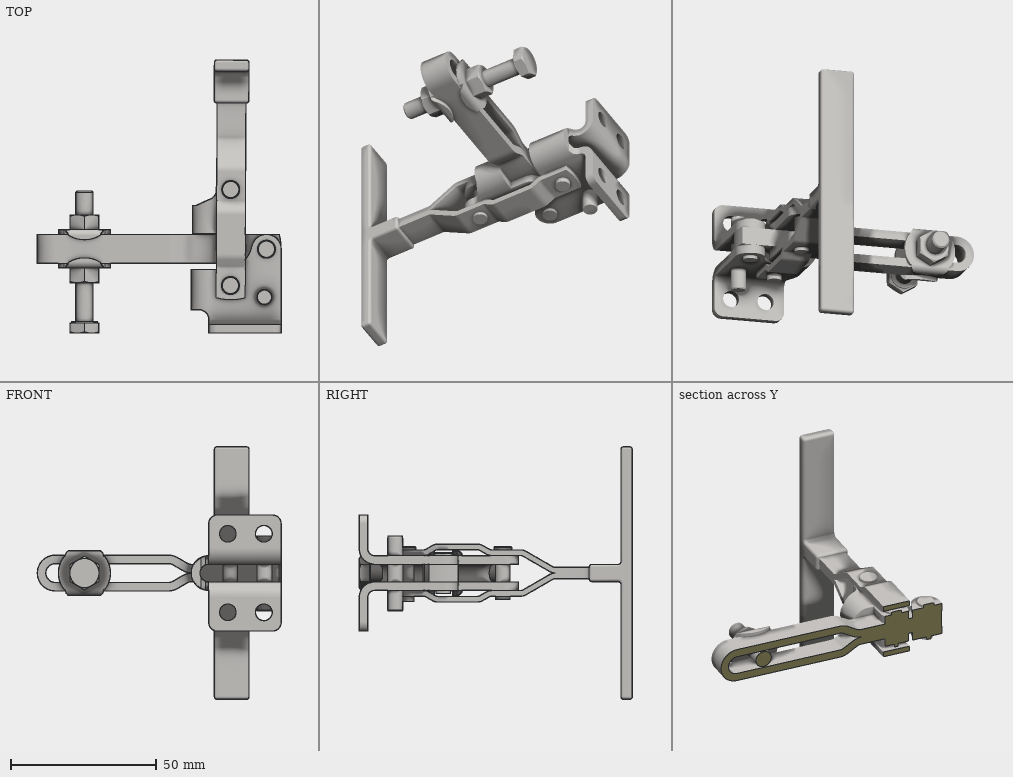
import cadquery as cq
import math


sheet = 3.0
handle_sheet = 2.0
bend_angle = math.radians(30)
width = 10.0
end_bulge = 0.7

base_inner_z = sheet
base_outer_z = base_inner_z + sheet
handle_mid_z = base_outer_z + handle_sheet / 2

clamp_length = 84.0
base_left = 59.0

pivot_x = 66.6
arm_pivot = (78.9, 28.9)
link_arm_pivot = (pivot_x, 29.0)
link_handle_pivot = (pivot_x, 49.45)
handle_pivot = (pivot_x - 0.1, 16.4)
stop_pin_place = (78.2, 12.4)

pin_diameter = 5.0
rivet_head_diameter = 6.2
rivet_head_height = 1.1
short_tail_length = 1.1
long_tail_length = 1.8
pin_chamfer = 0.3
stop_pin_diameter = 5.25
stop_pin_ends = (-13.1, 12.8)
stop_pin_lower_taper = 0.45
stop_pin_upper_taper = 0.9
stop_pin_taper_depth = 0.2

flange_half_span = 20.0
flange_corner_radius = 3.0
flange_bend_radius = 3.9
base_shoulder_y = 22.0
lug_radius = clamp_length - arm_pivot[0]
lug_relief_radius = 10.0
base_nose_bottom = 8.0
nose_corner_start_x = 56.4
nose_corner_break = (58.0, 7.2)
nose_corner_mid = (58.7, 6.2)
nose_corner_end_y = 5.05
mount_hole_diameter = 5.7
mount_hole_x = (65.6, 78.0)
mount_hole_z = 13.5

link_nose_x = 59.4
link_nose_bottom = 34.2
link_nose_top = 44.0
link_nose_flat = 1.3
link_slope_end = (60.0, 46.4)
link_slope_curve_mid = (61.1, 47.4)
link_top = 54.9
link_lower_radius = 5.25
link_left = pivot_x - width / 2
link_right = pivot_x + width / 2
link_slope_top = 48.9

arm_tip_radius = 6.2
arm_bottom = 24.05
arm_top = arm_bottom + width
arm_mid_y = arm_bottom + width / 2
arm_joggle_x = 46.4
arm_bend_radius = 4.5

handle_tilt = -0.25
handle_bottom = 11.5
handle_strap_top = 86.0
handle_bend_radius = 2.7
fork_y = 66.7
bow_upper_y = 44.9
bow_lower_y = 22.9
bow_depth = 2.0
grip_width = 12.0
grip_length = 87.0
grip_top = 94.03
grip_thickness = 3.9
grip_neck_bottom = 79.2
grip_neck_depth = 6.0
grip_neck_radius = 1.0
grip_edge_radius = 0.95

bolt_x = 16.25
bolt_diameter = 6.0
bolt_end_y = 49.0
bolt_chamfer = 0.5
hex_flats = 10.0
head_height = 3.5
head_collar_height = 0.5
head_collar_diameter = 9.0
nut_height = 5.15
hex_chamfer_height = 0.5
hex_sides = 6
hex_turn = 180 / hex_sides

washer_diameter = 18.0
washer_sheet = 1.55
washer_half_span = 7.75
washer_bend_radius = 2.1
washer_depth = 3.45
ear_root_half = 6.8
ear_shoulder_half = 6.3
ear_tip_half = 5.5
ear_taper_length = 1.85
cut_margin = 1.0


def unit(start, end):
    length = math.dist(start, end)
    return ((end[0] - start[0]) / length, (end[1] - start[1]) / length)


def shifted(point, direction, distance):
    return (point[0] + direction[0] * distance, point[1] + direction[1] * distance)


def left_normal(direction):
    return (-direction[1], direction[0])


def strip_side(path, offset, bend_radius):
    """One long side of a bent strip: (arc start, arc middle, arc end) for each bend."""
    bends = []
    for before, corner, after in zip(path, path[1:], path[2:]):
        way_in = unit(before, corner)
        way_out = unit(corner, after)
        turn = math.atan2(
            way_in[0] * way_out[1] - way_in[1] * way_out[0],
            way_in[0] * way_out[0] + way_in[1] * way_out[1],
        )
        side = math.copysign(1, turn)
        tangent = bend_radius * math.tan(abs(turn) / 2)
        normal_in = left_normal(way_in)
        normal_out = left_normal(way_out)
        start = shifted(corner, way_in, -tangent)
        end = shifted(corner, way_out, tangent)
        centre = shifted(start, normal_in, side * bend_radius)
        bisector = unit((0, 0), (normal_in[0] + normal_out[0], normal_in[1] + normal_out[1]))
        middle = shifted(centre, bisector, offset - side * bend_radius)
        bends.append((shifted(start, normal_in, offset), middle, shifted(end, normal_out, offset)))
    return bends


def bent_strip(plane, path, thickness, bend_radius):
    """Closed outline of a strip of constant thickness that follows a path with rounded bends."""
    half = thickness / 2
    first_normal = left_normal(unit(path[0], path[1]))
    last_normal = left_normal(unit(path[-2], path[-1]))
    outline = plane.moveTo(*shifted(path[0], first_normal, half))
    for start, middle, end in strip_side(path, half, bend_radius):
        outline = outline.lineTo(*start).threePointArc(middle, end)
    outline = outline.lineTo(*shifted(path[-1], last_normal, half))
    outline = outline.lineTo(*shifted(path[-1], last_normal, -half))
    for start, middle, end in reversed(strip_side(path, -half, bend_radius)):
        outline = outline.lineTo(*end).threePointArc(middle, start)
    return outline.lineTo(*shifted(path[0], first_normal, -half)).close()


def both_sides(half):
    """Joins a +Z half with its mirror image."""
    return half.union(half.mirror("XY"))


def through_z(outline):
    """Extrudes an XY outline far enough to clip the sheet-metal parts."""
    return outline.extrude(flange_half_span + cut_margin, both=True)


def nose(centre_x, bottom, top):
    """U-bend joining the two side plates of the base or the link."""
    ring = (
        cq.Workplane("XZ", origin=(centre_x, bottom, 0))
        .circle(base_outer_z)
        .circle(base_inner_z)
        .extrude(bottom - top)
    )
    left_half = cq.Workplane("XY").box(
        base_outer_z, top - bottom, 2 * base_outer_z, centered=(False, False, True)
    )
    return ring.intersect(left_half.translate((centre_x - base_outer_z, bottom, 0)))


def base():
    mid_z = (base_inner_z + base_outer_z) / 2
    path = [
        (arm_pivot[1] + lug_radius, mid_z),
        (sheet / 2, mid_z),
        (sheet / 2, flange_half_span),
    ]
    section = cq.Workplane("YZ", origin=(base_left, 0, 0))
    side = bent_strip(section, path, sheet, flange_bend_radius).extrude(clamp_length - base_left)
    side = side.edges("|Y").edges(">Z").fillet(flange_corner_radius)
    plates = both_sides(side)

    relief_y = base_shoulder_y + lug_relief_radius
    centre_distance = lug_radius + lug_relief_radius
    relief_x = arm_pivot[0] - math.sqrt(centre_distance**2 - (relief_y - arm_pivot[1]) ** 2)
    relief_centre = (relief_x, relief_y)
    to_lug = unit(relief_centre, arm_pivot)
    blend = shifted(relief_centre, to_lug, lug_relief_radius)
    relief_mid_direction = unit((0, 0), (to_lug[0], to_lug[1] - 1))
    lug_diagonal = lug_radius / math.sqrt(2)
    outline = (
        cq.Workplane("XY")
        .moveTo(base_left, 0)
        .lineTo(clamp_length, 0)
        .lineTo(clamp_length, arm_pivot[1])
        .threePointArc(
            (arm_pivot[0] + lug_diagonal, arm_pivot[1] + lug_diagonal),
            (arm_pivot[0], arm_pivot[1] + lug_radius),
        )
        .threePointArc(
            (arm_pivot[0] - lug_diagonal, arm_pivot[1] + lug_diagonal),
            blend,
        )
        .threePointArc(
            shifted(relief_centre, relief_mid_direction, lug_relief_radius),
            (relief_x, base_shoulder_y),
        )
        .lineTo(base_left, base_shoulder_y)
        .close()
    )
    plates = plates.intersect(through_z(outline))

    nose_left = base_left - base_outer_z
    nose_outline = (
        cq.Workplane("XY")
        .moveTo(nose_left, base_nose_bottom)
        .lineTo(nose_corner_start_x, base_nose_bottom)
        .lineTo(*nose_corner_break)
        .threePointArc(nose_corner_mid, (base_left, nose_corner_end_y))
        .lineTo(base_left, base_shoulder_y)
        .lineTo(nose_left, base_shoulder_y)
        .close()
    )
    bend = nose(base_left, nose_corner_end_y, base_shoulder_y).intersect(through_z(nose_outline))

    holes = (
        cq.Workplane("XZ")
        .pushPoints([(x, side_z * mount_hole_z) for x in mount_hole_x for side_z in (-1, 1)])
        .circle(mount_hole_diameter / 2)
        .extrude(-sheet)
    )
    return plates.union(bend).cut(holes)


def link():
    outline = (
        cq.Workplane("XY")
        .moveTo(link_nose_x - base_outer_z, link_nose_bottom)
        .lineTo(link_left, link_nose_bottom)
        .lineTo(link_left, link_arm_pivot[1])
        .threePointArc(
            (pivot_x, link_arm_pivot[1] - link_lower_radius),
            (pivot_x + link_lower_radius, link_arm_pivot[1]),
        )
        .lineTo(link_right, link_nose_bottom)
        .lineTo(link_right, link_handle_pivot[1])
        .threePointArc((pivot_x, link_top), (link_left, link_handle_pivot[1]))
        .lineTo(link_left, link_slope_top)
        .threePointArc(link_slope_curve_mid, link_slope_end)
        .lineTo(link_nose_x - base_outer_z + link_nose_flat, link_nose_top)
        .lineTo(link_nose_x - base_outer_z, link_nose_top)
        .close()
    )
    plate_bottom = link_arm_pivot[1] - link_lower_radius
    plate = cq.Workplane("XY").box(
        link_right - link_nose_x + cut_margin, link_top - plate_bottom, sheet, centered=False
    )
    plates = both_sides(plate.translate((link_nose_x, plate_bottom, base_inner_z)))
    bend = nose(link_nose_x, link_nose_bottom, link_slope_end[1])
    return plates.union(bend).intersect(through_z(outline))


def arm():
    straight_z = arm_tip_radius - sheet / 2
    closed_z = sheet / 2
    joggle_length = (straight_z - closed_z) / math.tan(bend_angle)
    path = [
        (arm_tip_radius, straight_z),
        (arm_joggle_x, straight_z),
        (arm_joggle_x + joggle_length, closed_z),
        (clamp_length, closed_z),
    ]
    section = cq.Workplane("XZ", origin=(0, arm_bottom, 0))
    strips = both_sides(bent_strip(section, path, sheet, arm_bend_radius).extrude(-width))
    inner_radius = arm_tip_radius - sheet
    tip = (
        section.moveTo(arm_tip_radius, arm_tip_radius)
        .threePointArc((0, 0), (arm_tip_radius, -arm_tip_radius))
        .lineTo(arm_tip_radius, -inner_radius)
        .threePointArc((sheet, 0), (arm_tip_radius, inner_radius))
        .close()
        .extrude(-width)
    )
    outline = (
        cq.Workplane("XY")
        .moveTo(0, arm_bottom)
        .lineTo(clamp_length - end_bulge, arm_bottom)
        .threePointArc((clamp_length, arm_mid_y), (clamp_length - end_bulge, arm_top))
        .lineTo(0, arm_top)
        .close()
    )
    return strips.union(tip).intersect(through_z(outline))


def handle_straps():
    stem_z = handle_sheet / 2
    fork_length = (handle_mid_z - stem_z) / math.tan(bend_angle)
    bow_run = bow_depth / math.tan(bend_angle)
    bow_z = handle_mid_z + bow_depth
    path = [
        (handle_strap_top, stem_z),
        (fork_y, stem_z),
        (fork_y - fork_length, handle_mid_z),
        (bow_upper_y, handle_mid_z),
        (bow_upper_y - bow_run, bow_z),
        (bow_lower_y + bow_run, bow_z),
        (bow_lower_y, handle_mid_z),
        (handle_bottom, handle_mid_z),
    ]
    section = cq.Workplane("YZ", origin=(pivot_x - width / 2, 0, 0))
    straps = both_sides(bent_strip(section, path, handle_sheet, handle_bend_radius).extrude(width))
    left = pivot_x - width / 2
    right = pivot_x + width / 2
    outline = (
        cq.Workplane("XY")
        .moveTo(left, handle_bottom + end_bulge)
        .threePointArc((pivot_x, handle_bottom), (right, handle_bottom + end_bulge))
        .lineTo(right, handle_strap_top)
        .lineTo(left, handle_strap_top)
        .close()
    )
    return straps.intersect(through_z(outline))


def grip():
    bar_bottom = grip_top - grip_thickness
    bar = cq.Workplane("XY").box(
        grip_width, grip_thickness, grip_length, centered=(True, False, True)
    )
    neck = cq.Workplane("XY").box(
        grip_width, bar_bottom - grip_neck_bottom, grip_neck_depth, centered=(True, False, True)
    )
    body = bar.translate((pivot_x, bar_bottom, 0)).union(
        neck.translate((pivot_x, grip_neck_bottom, 0))
    )
    for side_z in (-1, 1):
        corner = (pivot_x, bar_bottom, side_z * grip_neck_depth / 2)
        body = body.edges(cq.NearestToPointSelector(corner)).fillet(grip_neck_radius)
    return body.faces("<X or >X or <Y or >Y or <Z or >Z").edges().fillet(grip_edge_radius)


def handle():
    body = handle_straps().union(grip())
    axis_end = (*handle_pivot, 1)
    return body.rotate((*handle_pivot, 0), axis_end, handle_tilt)


def rivet(place, outer_z, tail_length):
    """Rivet with a wide chamfered head on the +Z side and a plain tail on the -Z side."""
    tail_z = -outer_z - tail_length
    shank = (
        cq.Workplane("XY", origin=(*place, tail_z))
        .circle(pin_diameter / 2)
        .extrude(outer_z - tail_z)
    )
    head = (
        cq.Workplane("XY", origin=(*place, outer_z))
        .circle(rivet_head_diameter / 2)
        .extrude(rivet_head_height)
        .faces(">Z")
        .chamfer(pin_chamfer)
    )
    return shank.union(head)


def stop_pin():
    bottom_z, top_z = stop_pin_ends
    pin = (
        cq.Workplane("XY", origin=(*stop_pin_place, bottom_z))
        .circle(stop_pin_diameter / 2)
        .extrude(top_z - bottom_z)
    )
    pin = pin.faces("<Z").chamfer(stop_pin_lower_taper, stop_pin_taper_depth)
    return pin.faces(">Z").chamfer(stop_pin_upper_taper, stop_pin_taper_depth)


def along_y(start_y):
    """Sketch plane on the bolt axis; negative extrusions rise in +Y."""
    return cq.Workplane("XZ", origin=(bolt_x, start_y, 0))


def hexagon(start_y, height, rounded_face):
    """Hexagon with two corners along Z and the corners of one face turned off."""
    corner_diameter = hex_flats / math.cos(math.pi / hex_sides)
    prism = along_y(start_y).polygon(hex_sides, corner_diameter).extrude(-height)
    prism = prism.rotate((bolt_x, 0, 0), (bolt_x, 1, 0), hex_turn)
    turned = along_y(start_y).circle(corner_diameter / 2).extrude(-height)
    turned = turned.faces(rounded_face).chamfer(
        hex_chamfer_height, (corner_diameter - hex_flats) / 2
    )
    return prism.intersect(turned)


def bolt():
    shank = (
        along_y(0)
        .circle(bolt_diameter / 2)
        .extrude(-bolt_end_y)
        .faces(">Y")
        .chamfer(bolt_chamfer)
    )
    collar = along_y(head_height).circle(head_collar_diameter / 2).extrude(-head_collar_height)
    head = hexagon(0, head_height, "<Y")
    upper_nut = hexagon(arm_top + washer_sheet, nut_height, ">Y")
    lower_nut = hexagon(arm_bottom - washer_sheet - nut_height, nut_height, "<Y")
    return shank.union(collar).union(head).union(upper_nut).union(lower_nut)


def upper_washer():
    """Round washer with two ears folded down over the sides of the arm."""
    top = arm_top + washer_sheet
    fold_z = washer_half_span - washer_bend_radius
    disc = along_y(arm_top).circle(washer_diameter / 2).extrude(-washer_sheet)
    disc = disc.intersect(
        cq.Workplane("XY").box(washer_diameter, washer_sheet, 2 * fold_z).translate(
            (bolt_x, arm_top + washer_sheet / 2, 0)
        )
    )
    path = [
        (top - washer_sheet / 2, 0),
        (top - washer_sheet / 2, washer_half_span - washer_sheet / 2),
        (top - washer_depth, washer_half_span - washer_sheet / 2),
    ]
    section = cq.Workplane("YZ", origin=(bolt_x - ear_root_half, 0, 0))
    mid_radius = washer_bend_radius - washer_sheet / 2
    fold = both_sides(bent_strip(section, path, washer_sheet, mid_radius).extrude(2 * ear_root_half))
    shoulder_y = top - ear_taper_length
    ear_side = (
        cq.Workplane("XY")
        .moveTo(bolt_x - ear_root_half, top)
        .lineTo(bolt_x - ear_tip_half, shoulder_y)
        .threePointArc((bolt_x, top - washer_depth), (bolt_x + ear_tip_half, shoulder_y))
        .lineTo(bolt_x + ear_root_half, top)
        .close()
    )
    tip_z = washer_half_span - washer_sheet / 2
    ear_plan = (
        along_y(top)
        .polyline(
            [
                (-ear_root_half, -fold_z),
                (-ear_shoulder_half, -tip_z),
                (-ear_tip_half, -washer_half_span),
                (ear_tip_half, -washer_half_span),
                (ear_shoulder_half, -tip_z),
                (ear_root_half, -fold_z),
                (ear_root_half, fold_z),
                (ear_shoulder_half, tip_z),
                (ear_tip_half, washer_half_span),
                (-ear_tip_half, washer_half_span),
                (-ear_shoulder_half, tip_z),
                (-ear_root_half, fold_z),
            ]
        )
        .close()
        .extrude(washer_depth)
    )
    return disc.union(fold.intersect(through_z(ear_side)).intersect(ear_plan))


def washers():
    upper = upper_washer()
    return upper.union(upper.mirror("XZ", (0, arm_mid_y, 0)))


handle_outer_z = base_outer_z + handle_sheet

result = base()
for component in (
    link(),
    arm(),
    handle(),
    rivet(arm_pivot, base_outer_z, short_tail_length),
    rivet(link_arm_pivot, base_outer_z, short_tail_length),
    rivet(link_handle_pivot, handle_outer_z, short_tail_length),
    rivet(handle_pivot, handle_outer_z, long_tail_length),
    stop_pin(),
    washers(),
    bolt(),
):
    result = result.union(component)